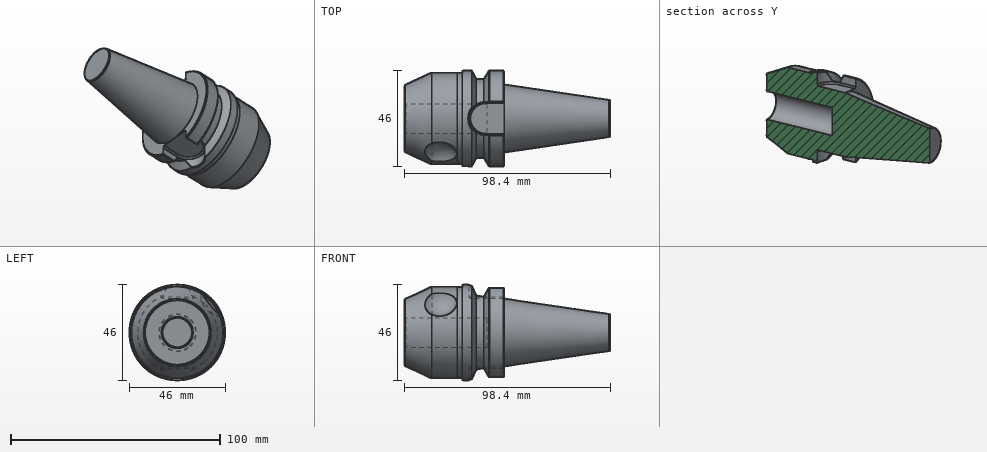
import cadquery as cq
import math

total_length = 98.4
nose_chamfer_length = 0.3
nose_cone_end = 12.4
body_start = 13.0
body_end = 25.4
collar_start = 27.7
collar_chamfer_length = 0.6
collar_end = 32.2
neck_start = 34.4
neck_end = 38.1
flange_start = 40.3
flange_end = 47.7
flange_chamfer = 0.5
flange_lead_length = 0.4
tail_chamfer_length = 0.6

nose_face_radius = 15.35
nose_radius = 16.1
nose_cone_radius = 21.7
body_radius = 44.0 / 2
relief_radius = 43.8 / 2
flange_radius = 46.0 / 2
collar_edge_radius = flange_radius - 0.1
flange_lead_radius = flange_radius - 0.2
neck_radius = 19.0
taper_ratio = 7 / 24
taper_tip_radius = 9.0
taper_base_radius = taper_tip_radius + (total_length - flange_end) * taper_ratio / 2
tail_chamfer_depth = 0.3

bore_radius = 14.0 / 2
bore_chamfer = 0.6
bore_depth = 39.4

slot_half_width = 8.0
slot_center_x = 38.8
slot_floor_height = 16.3
slot_corner_chamfer = 0.8
slot_rim_chamfer = 0.4

dimple_x = 16.8
dimple_angle = 40.0
dimple_radius = 10.0
dimple_bottom_distance = 17.7


def turned_body():
    profile = [
        (0, 0),
        (0, nose_face_radius),
        (nose_chamfer_length, nose_radius),
        (nose_cone_end, nose_cone_radius),
        (body_start, body_radius),
        (body_end, body_radius),
        (body_end, relief_radius),
        (collar_start, relief_radius),
        (collar_start, collar_edge_radius),
        (collar_start + collar_chamfer_length, flange_radius),
        (collar_end, flange_radius),
        (neck_start, neck_radius),
        (neck_end, neck_radius),
        (flange_start, flange_lead_radius),
        (flange_start + flange_lead_length, flange_radius),
        (flange_end - flange_chamfer, flange_radius),
        (flange_end, flange_radius - flange_chamfer),
        (flange_end, taper_base_radius),
        (total_length - tail_chamfer_length, taper_tip_radius),
        (total_length, taper_tip_radius - tail_chamfer_depth),
        (total_length, 0),
    ]
    return cq.Workplane("XY").polyline(profile).close().revolve(360, (0, 0), (1, 0))


def nose_bore():
    bore = cq.Workplane("YZ").circle(bore_radius).extrude(bore_depth)
    mouth = (
        cq.Workplane("YZ")
        .circle(bore_radius + bore_chamfer)
        .workplane(offset=bore_chamfer)
        .circle(bore_radius)
        .loft()
    )
    return bore.union(mouth)


def drive_slot():
    """Round-ended slot on the +Z side, open toward +X, with bevelled floor corners."""
    return (
        cq.Workplane("XY", origin=(0, 0, slot_floor_height))
        .moveTo(flange_end, -slot_half_width)
        .lineTo(slot_center_x, -slot_half_width)
        .threePointArc(
            (slot_center_x - slot_half_width, 0),
            (slot_center_x, slot_half_width),
        )
        .lineTo(flange_end, slot_half_width)
        .close()
        .extrude(flange_radius - slot_floor_height)
        .faces("<Z")
        .edges("not >X")
        .chamfer(slot_corner_chamfer)
    )


def dimple():
    center_distance = dimple_bottom_distance + dimple_radius
    angle = math.radians(dimple_angle)
    center = (
        dimple_x,
        -center_distance * math.cos(angle),
        center_distance * math.sin(angle),
    )
    return cq.Workplane("XY").sphere(dimple_radius).translate(center)


def bevel_slot_rims(body):
    """Bevel the edges where the slot walls meet the collar and flange rims."""
    margin = 0.2
    edges = []
    for edge in body.edges().vals():
        middle = edge.positionAt(0.5)
        on_rim = abs(math.hypot(middle.y, middle.z) - flange_radius) < 0.01
        beside_slot = abs(middle.y) < slot_half_width + margin
        within_slot = slot_center_x - slot_half_width - margin < middle.x < flange_end
        if on_rim and beside_slot and within_slot and edge.geomType() != "CIRCLE":
            edges.append(edge)
    return body.newObject(edges).chamfer(slot_rim_chamfer)


result = turned_body().cut(nose_bore()).cut(dimple())
for slot_angle in (0, 180):
    result = result.cut(drive_slot().rotate((0, 0, 0), (1, 0, 0), slot_angle))
result = bevel_slot_rims(result)